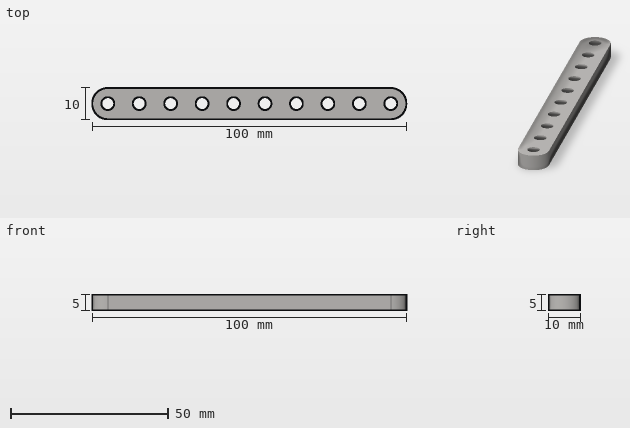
import cadquery as cq

length = 100.0
width = 10.0
thickness = 5.0
hole_diameter = 4.0
hole_count = 10

hole_pitch = (length - width) / (hole_count - 1)

bar = cq.Workplane("XY").slot2D(length, width).extrude(thickness)

result = (
    bar.faces(">Z")
    .workplane()
    .rarray(hole_pitch, 1, hole_count, 1)
    .hole(hole_diameter)
)